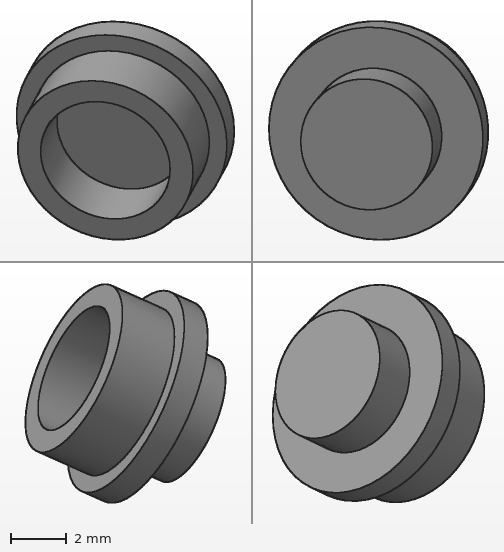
import cadquery as cq

flange_diameter = 7.8
flange_thickness = 1.0
front_diameter = 6.5
front_length = 2.2
rear_diameter = 4.8
rear_length = 1.7
bore_diameter = rear_diameter
bore_depth = front_length


def disc(diameter, y_start, length):
    """Solid cylinder along +Y whose front face lies at y_start."""
    plane = cq.Workplane("XZ", origin=(0, y_start, 0))
    return plane.circle(diameter / 2).extrude(-length)


flange = disc(flange_diameter, 0, flange_thickness)
front_collar = disc(front_diameter, -front_length, front_length)
rear_boss = disc(rear_diameter, flange_thickness, rear_length)

bore = disc(bore_diameter, -front_length, bore_depth)

result = flange.union(front_collar).union(rear_boss).cut(bore)